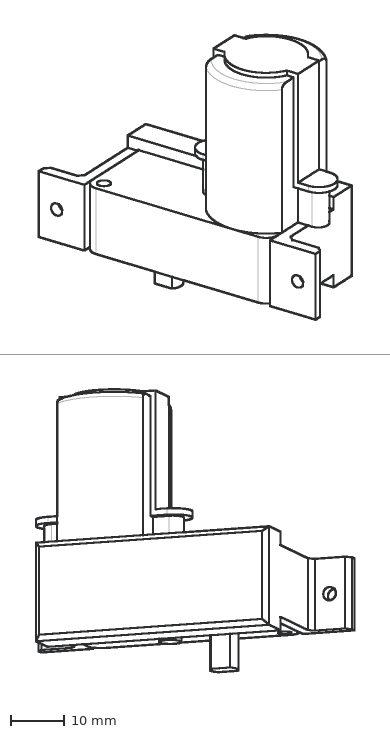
import cadquery as cq


gearbox_length = 42.4
gearbox_depth = 22.9
gearbox_height = 13.8
gearbox_corner_radius = 2.65
gearbox_hole_diameter = 2.6
gearbox_hole_inset = gearbox_corner_radius

motor_radius = gearbox_depth / 2
motor_flat_half_width = 8.65
motor_height = 30.9
motor_edge_radius = 1.0
motor_x = gearbox_length / 2 - motor_flat_half_width
motor_y = gearbox_depth / 2
motor_top = gearbox_height + motor_height

strap_width = 7.0
strap_thickness = 1.0
strap_half_span = motor_flat_half_width + strap_thickness
cap_diameter = 15.8
tab_thickness = 1.2
tab_half_span = 15.55
post_height = 7.95
post_diameter = 4.25
post_half_span = 14.0

shaft_diameter = 5.45
shaft_across_flats = 3.8
shaft_length = 8.1
shaft_x = -9.7
boss_diameter = 4.25
boss_height = 2.0
boss_x = 1.2

bracket_length = 47.05
bracket_height = 18.9
plate_thickness = 2.0
lip_spacing = 14.15
bracket_chamfer = 1.0
lip_reach = 5.05
wall_height = gearbox_height
total_length = 63.25
flange_thickness = 2.5
flange_hole_diameter = 2.5
flange_hole_x = 27.5
plate_back = gearbox_depth + plate_thickness
middle_z = gearbox_height / 2


def block(x_range, y_range, z_range):
    """Box between the given limits."""
    size = [high - low for low, high in (x_range, y_range, z_range)]
    return cq.Workplane("XY").box(*size, centered=False).translate((x_range[0], y_range[0], z_range[0]))


def centred_block(length, y_range, height):
    """Box centred on x = 0 and on the middle height of the gearbox."""
    return block(
        (-length / 2, length / 2), y_range, (middle_z - height / 2, middle_z + height / 2)
    )


def cylinder(x, y, diameter, z_low, z_high):
    """Upright cylinder."""
    return cq.Workplane("XY", origin=(x, y, z_low)).circle(diameter / 2).extrude(z_high - z_low)


def motor_slot(length, width, z_low, z_high):
    """Round-ended bar through the motor axis."""
    return cq.Workplane("XY", origin=(motor_x, motor_y, z_low)).slot2D(length, width).extrude(z_high - z_low)


def make_gearbox_case():
    case = block((-gearbox_length / 2, gearbox_length / 2), (0, gearbox_depth), (0, gearbox_height))
    case = case.edges("|Z and <Y").fillet(gearbox_corner_radius)
    hole_x = -gearbox_length / 2 + gearbox_hole_inset
    return case.cut(cylinder(hole_x, gearbox_hole_inset, gearbox_hole_diameter, 0, gearbox_height))


def make_motor_can():
    can = cylinder(motor_x, motor_y, 2 * motor_radius, gearbox_height, motor_top)
    can = can.faces(">Z").edges().fillet(motor_edge_radius)
    flats = block(
        (motor_x - motor_flat_half_width, motor_x + motor_flat_half_width),
        (0, gearbox_depth),
        (gearbox_height, motor_top),
    )
    return can.intersect(flats)


def make_strap():
    tab_bottom = gearbox_height + post_height
    tab_top = tab_bottom + tab_thickness
    strap_top = motor_top + strap_thickness
    strap = block(
        (motor_x - strap_half_span, motor_x + strap_half_span),
        (motor_y - strap_width / 2, motor_y + strap_width / 2),
        (tab_top, strap_top),
    )
    cap = cylinder(motor_x, motor_y, cap_diameter, motor_top, strap_top)
    tabs = motor_slot(2 * tab_half_span, strap_width, tab_bottom, tab_top)
    posts = motor_slot(2 * post_half_span, post_diameter, gearbox_height, tab_bottom)
    return strap.union(cap).union(tabs).union(posts)


def make_output_shaft():
    shaft = cylinder(shaft_x, motor_y, shaft_diameter, -shaft_length, 0)
    flats = block(
        (shaft_x - shaft_diameter, shaft_x + shaft_diameter),
        (motor_y - shaft_across_flats / 2, motor_y + shaft_across_flats / 2),
        (-shaft_length, 0),
    )
    return shaft.intersect(flats)


def make_gearmotor():
    boss = cylinder(boss_x, motor_y, boss_diameter, -boss_height, 0)
    gearmotor = make_gearbox_case().union(make_motor_can()).union(make_strap())
    return gearmotor.union(make_output_shaft()).union(boss)


def make_flange(side):
    """Mounting ear on one end wall (side is -1 or 1), with a chamfered tip and a sloped root."""
    wall_x = bracket_length / 2
    tip_x = total_length / 2
    outline = [
        (wall_x, 0),
        (tip_x, 0),
        (tip_x, flange_thickness - bracket_chamfer),
        (tip_x - bracket_chamfer, flange_thickness),
        (wall_x + bracket_chamfer, flange_thickness),
        (wall_x, flange_thickness + bracket_chamfer),
    ]
    flange = (
        cq.Workplane("XY", origin=(0, 0, middle_z - wall_height / 2))
        .polyline([(side * x, y) for x, y in outline])
        .close()
        .extrude(wall_height)
    )
    hole = (
        cq.Workplane("XZ", origin=(side * flange_hole_x, 0, middle_z))
        .circle(flange_hole_diameter / 2)
        .extrude(-flange_thickness)
    )
    return flange.cut(hole)


def make_bracket():
    plate = centred_block(bracket_length, (gearbox_depth, plate_back), bracket_height)
    plate = plate.faces(">Y").edges().chamfer(bracket_chamfer)
    walls = centred_block(bracket_length, (0, gearbox_depth), wall_height)
    lips = centred_block(bracket_length, (gearbox_depth - lip_reach, gearbox_depth), bracket_height)
    cavity = centred_block(gearbox_length, (0, gearbox_depth), lip_spacing)
    bracket = plate.union(walls).union(lips).cut(cavity)
    for side in (-1, 1):
        bracket = bracket.union(make_flange(side))
    clearance = cylinder(motor_x, motor_y, 2 * motor_radius, gearbox_height, motor_top)
    between_walls = block(
        (-gearbox_length / 2, gearbox_length / 2), (0, gearbox_depth), (gearbox_height, motor_top)
    )
    return bracket.cut(clearance.intersect(between_walls))


gearmotor = make_gearmotor()
bracket = make_bracket()

result = cq.Compound.makeCompound([gearmotor.val(), bracket.val()])